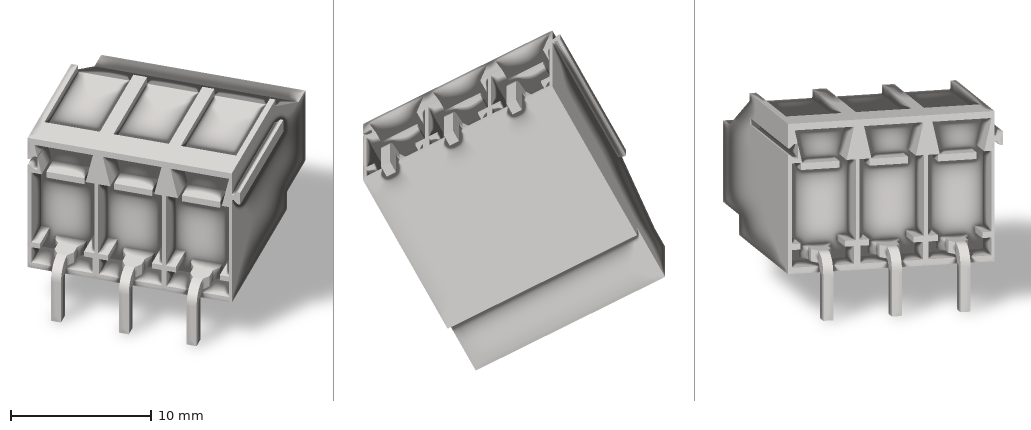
import cadquery as cq


WIDTH = 15.26
DEPTH = 17.14
HEIGHT = 10.97
RIDGE_Y = 10.15
RIDGE_STEP = 0.58
SHOULDER_Y = 15.56
SHOULDER_Z = 7.43
FOOT_Y = 12.87
OVERHANG_Z = 1.49

FIRST_POLE_X = 2.58
POLE_PITCH = 5.07
POLES = [FIRST_POLE_X + i * POLE_PITCH for i in range(3)]

BAY_DEPTH = 2.23
BAY_FLOOR_Z = 0.45
LUG_BOTTOM_Z = 1.75
LUG_TOP_Z = 2.17
BAY_SHOULDER_Z = 8.08
FUNNEL_TOP_Z = 10.47
LUG_GAP = 3.29
FUNNEL_TOP_WIDTH = 4.38
FUNNEL_BOTTOM_WIDTH = 3.29
UPPER_WALLS = [(0.3, 5.01), (5.27, 10.06), (10.35, 15.06)]
LOWER_WALLS = [(0.3, 4.87), (5.35, 9.99), (10.4, 15.06)]
FUNNEL_CENTRES = [2.7, 7.82, 12.87]

LABEL_WIDTH = 4.15
LABEL_FRONT_Y = 2.32
LABEL_REAR_Y = 10.36
LABEL_FLOOR_Z = 10.27
LABEL_CENTRES = [2.58, 7.75, 12.78]

DOVETAIL_Z = 8.95
DOVETAIL_LENGTH = 10.03
RAIL_NECK_LENGTH = 0.13
RAIL_TAPER_END = 0.4
RAIL_REACH = 0.63
RAIL_NECK_HALF = 0.2
RAIL_HEAD_HALF = 0.5
GROOVE_NECK_LENGTH = 0.15
GROOVE_TAPER_END = 0.48
GROOVE_REACH = 0.75
GROOVE_NECK_HALF = 0.25
GROOVE_HEAD_HALF = 0.54

PIN_WIDTH = 0.75
PIN_THICKNESS = 0.9
PIN_TOP_Z = 1.6
PIN_BEND_RADIUS = 1.43
PIN_TIP_Z = -3.23
PIN_HEAD_REAR_HALF = 1.15
PIN_HEAD_FRONT_HALF = 1.08
PIN_HEAD_LENGTH = 0.45
PIN_NECK_HALF = 0.72
PIN_NECK_REAR_Y = 1.3
PIN_NECK_FRONT_Y = 0.52

TONGUE_WIDTH = 2.85
TONGUE_BOTTOM_Z = 7.37
TONGUE_TOP_Z = 7.87
TONGUE_FRONT_Y = 0.75


def dovetail(root_x, neck_length, taper_end, reach, neck_half, head_half):
    """Dovetail bar along Y that widens from its root towards +X."""
    lower_half = [
        (0, -neck_half),
        (neck_length, -neck_half),
        (taper_end, -head_half),
        (reach, -head_half),
    ]
    upper_half = [(x, -z) for x, z in reversed(lower_half)]
    return (
        cq.Workplane("XZ", origin=(root_x, 0, DOVETAIL_Z))
        .polyline(lower_half + upper_half)
        .close()
        .extrude(-DOVETAIL_LENGTH)
    )


def housing_block():
    """Side outline carried across the full width."""
    outline = [
        (0, 0),
        (FOOT_Y, 0),
        (FOOT_Y, OVERHANG_Z),
        (DEPTH, OVERHANG_Z),
        (DEPTH, SHOULDER_Z),
        (SHOULDER_Y, SHOULDER_Z),
        (RIDGE_Y, HEIGHT - RIDGE_STEP),
        (RIDGE_Y, HEIGHT),
        (0, HEIGHT),
    ]
    return cq.Workplane("YZ").polyline(outline).close().extrude(WIDTH)


def bay(pole_x, upper_walls, lower_walls, funnel_x):
    """Space of one front compartment, leaving a lug on each side and a funnel at the top."""
    upper_left, upper_right = upper_walls
    lower_left, lower_right = lower_walls
    lug_left = pole_x - LUG_GAP / 2
    lug_right = pole_x + LUG_GAP / 2
    outline = [
        (lower_left, BAY_FLOOR_Z),
        (lower_right, BAY_FLOOR_Z),
        (lower_right, LUG_BOTTOM_Z),
        (lug_right, LUG_BOTTOM_Z),
        (lug_right, LUG_TOP_Z),
        (upper_right, LUG_TOP_Z),
        (upper_right, BAY_SHOULDER_Z),
        (funnel_x + FUNNEL_BOTTOM_WIDTH / 2, BAY_SHOULDER_Z),
        (funnel_x + FUNNEL_TOP_WIDTH / 2, FUNNEL_TOP_Z),
        (funnel_x - FUNNEL_TOP_WIDTH / 2, FUNNEL_TOP_Z),
        (funnel_x - FUNNEL_BOTTOM_WIDTH / 2, BAY_SHOULDER_Z),
        (upper_left, BAY_SHOULDER_Z),
        (upper_left, LUG_TOP_Z),
        (lug_left, LUG_TOP_Z),
        (lug_left, LUG_BOTTOM_Z),
        (lower_left, LUG_BOTTOM_Z),
    ]
    return cq.Workplane("XZ").polyline(outline).close().extrude(-BAY_DEPTH)


def label_recess(centre_x):
    """Space of one label recess, open at the top and into the slope."""
    length = LABEL_REAR_Y - LABEL_FRONT_Y
    depth = HEIGHT - LABEL_FLOOR_Z
    return (
        cq.Workplane("XY", origin=(centre_x, LABEL_FRONT_Y, LABEL_FLOOR_Z))
        .box(LABEL_WIDTH, length, depth, centered=(True, False, False))
    )


def make_housing():
    body = housing_block()
    for bay_place in zip(POLES, UPPER_WALLS, LOWER_WALLS, FUNNEL_CENTRES):
        body = body.cut(bay(*bay_place))
    for centre_x in LABEL_CENTRES:
        body = body.cut(label_recess(centre_x))
    groove = dovetail(
        0, GROOVE_NECK_LENGTH, GROOVE_TAPER_END, GROOVE_REACH, GROOVE_NECK_HALF, GROOVE_HEAD_HALF
    )
    rail = dovetail(
        WIDTH, RAIL_NECK_LENGTH, RAIL_TAPER_END, RAIL_REACH, RAIL_NECK_HALF, RAIL_HEAD_HALF
    )
    return body.cut(groove).union(rail)


def make_pin(pole_x):
    """Flat waisted head against the compartment's rear wall, with a leg bent down at the front."""
    right_side = [
        (PIN_WIDTH / 2, 0),
        (PIN_NECK_HALF, PIN_NECK_FRONT_Y),
        (PIN_NECK_HALF, PIN_NECK_REAR_Y),
        (PIN_HEAD_FRONT_HALF, BAY_DEPTH - PIN_HEAD_LENGTH),
        (PIN_HEAD_REAR_HALF, BAY_DEPTH),
    ]
    left_side = [(-x, y) for x, y in reversed(right_side)]
    head = (
        cq.Workplane("XY", origin=(pole_x, 0, PIN_TOP_Z - PIN_THICKNESS))
        .polyline(right_side + left_side)
        .close()
        .extrude(PIN_THICKNESS)
    )

    bend_z = PIN_TOP_Z - PIN_BEND_RADIUS
    inner_radius = PIN_BEND_RADIUS - PIN_THICKNESS
    leg = (
        cq.Workplane("YZ", origin=(pole_x, 0, 0))
        .moveTo(0, PIN_TOP_Z)
        .radiusArc((-PIN_BEND_RADIUS, bend_z), -PIN_BEND_RADIUS)
        .lineTo(-PIN_BEND_RADIUS, PIN_TIP_Z)
        .lineTo(-inner_radius, PIN_TIP_Z)
        .lineTo(-inner_radius, bend_z)
        .radiusArc((0, PIN_TOP_Z - PIN_THICKNESS), inner_radius)
        .close()
        .extrude(PIN_WIDTH / 2, both=True)
    )
    return head.union(leg)


def make_tongue(pole_x):
    """Flat contact strip standing out from the compartment's rear wall."""
    length = BAY_DEPTH - TONGUE_FRONT_Y
    thickness = TONGUE_TOP_Z - TONGUE_BOTTOM_Z
    return (
        cq.Workplane("XY", origin=(pole_x, TONGUE_FRONT_Y, TONGUE_BOTTOM_Z))
        .box(TONGUE_WIDTH, length, thickness, centered=(True, False, False))
    )


housing = make_housing()
pins = [make_pin(pole_x) for pole_x in POLES]
tongues = [make_tongue(pole_x) for pole_x in POLES]

result = cq.Compound.makeCompound(
    [housing.val()] + [pin.val() for pin in pins] + [tongue.val() for tongue in tongues]
)